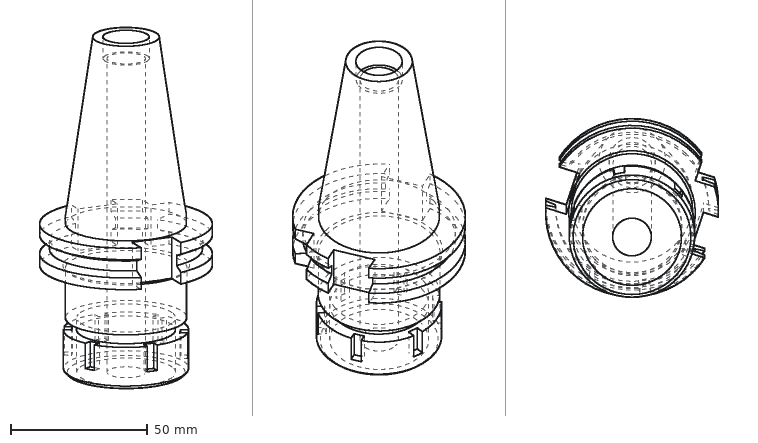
import cadquery as cq

GAUGE_DIAMETER = 44.45
TAPER_RATIO = 7 / 24
TAPER_LENGTH = 68.4
PROJECTION = 60.0

FLANGE_DIAMETER = 63.55
FLANGE_TOP = -3.2
FLANGE_BOTTOM = -19.1
GROOVE_CENTRE = -11.1
GROOVE_ROOT_DIAMETER = 56.25
GROOVE_ROOT_WIDTH = 3.8
GROOVE_MOUTH_WIDTH = 7.0

KEYWAY_WIDTH = 16.1
KEYWAY_FLOOR_LEFT = 25.0
KEYWAY_FLOOR_RIGHT = 22.8
NOTCH_OFFSET = 18.5

BODY_DIAMETER = 44.7
BODY_BOTTOM = -39.2
COLLAR_DIAMETER = 46.5
COLLAR_HEIGHT = 0.9
NOSE_DIAMETER = 36.4
BORE_DIAMETER = 14.2
COUNTERBORE_DIAMETER = 17.0
COUNTERBORE_DEPTH = 8.2

NUT_DIAMETER = 46.1
NUT_TOP = -43.8
NUT_CHAMFER = 1.4
NUT_SLOT_COUNT = 6
NUT_SLOT_WIDTH = 4.0
NUT_SLOT_LENGTH = 9.7
NUT_SLOT_FLOOR_RADIUS = 20.0


def revolve(points):
    """Turn a closed outline of (radius, height) points about the Z axis."""
    return cq.Workplane("YZ").polyline(points).close().revolve(360, (0, 0), (0, 1))


def box(x_min, x_max, y_min, y_max, z_min, z_max):
    """Make a box from its limits along each axis."""
    size = (x_max - x_min, y_max - y_min, z_max - z_min)
    return cq.Workplane("XY").box(*size, centered=False).translate((x_min, y_min, z_min))


def turned_holder():
    """Taper, grooved flange, body and nose, bored through and counterbored at the top."""
    gauge_radius = GAUGE_DIAMETER / 2
    small_end_radius = gauge_radius - TAPER_LENGTH * TAPER_RATIO / 2
    flange_radius = FLANGE_DIAMETER / 2
    root_radius = GROOVE_ROOT_DIAMETER / 2
    body_radius = BODY_DIAMETER / 2
    nose_radius = NOSE_DIAMETER / 2
    bore_radius = BORE_DIAMETER / 2
    counterbore_radius = COUNTERBORE_DIAMETER / 2
    counterbore_floor = TAPER_LENGTH - COUNTERBORE_DEPTH
    return revolve([
        (bore_radius, counterbore_floor),
        (counterbore_radius, counterbore_floor),
        (counterbore_radius, TAPER_LENGTH),
        (small_end_radius, TAPER_LENGTH),
        (gauge_radius, 0),
        (gauge_radius, FLANGE_TOP),
        (flange_radius, FLANGE_TOP),
        (flange_radius, GROOVE_CENTRE + GROOVE_MOUTH_WIDTH / 2),
        (root_radius, GROOVE_CENTRE + GROOVE_ROOT_WIDTH / 2),
        (root_radius, GROOVE_CENTRE - GROOVE_ROOT_WIDTH / 2),
        (flange_radius, GROOVE_CENTRE - GROOVE_MOUTH_WIDTH / 2),
        (flange_radius, FLANGE_BOTTOM),
        (COLLAR_DIAMETER / 2, FLANGE_BOTTOM),
        (body_radius, FLANGE_BOTTOM - COLLAR_HEIGHT),
        (body_radius, BODY_BOTTOM),
        (nose_radius, BODY_BOTTOM),
        (nose_radius, -PROJECTION),
        (bore_radius, -PROJECTION),
    ])


def flange_cutouts():
    """Two drive keyways of unequal depth and the corner notch, through the flange height."""
    edge = FLANGE_DIAMETER / 2
    half_width = KEYWAY_WIDTH / 2
    left_keyway = box(-edge, -KEYWAY_FLOOR_LEFT, -half_width, half_width, FLANGE_BOTTOM, FLANGE_TOP)
    right_keyway = box(KEYWAY_FLOOR_RIGHT, edge, -half_width, half_width, FLANGE_BOTTOM, FLANGE_TOP)
    notch = box(-edge, -NOTCH_OFFSET, NOTCH_OFFSET, edge, FLANGE_BOTTOM, FLANGE_TOP)
    return [left_keyway, right_keyway, notch]


def make_holder():
    body = turned_holder()
    for cutout in flange_cutouts():
        body = body.cut(cutout)
    return body


def make_clamping_nut():
    """Ring around the holder nose, with spanner slots open at its top face."""
    outer_radius = NUT_DIAMETER / 2
    inner_radius = NOSE_DIAMETER / 2
    nut = revolve([
        (inner_radius, NUT_TOP),
        (outer_radius, NUT_TOP),
        (outer_radius, -PROJECTION + NUT_CHAMFER),
        (outer_radius - NUT_CHAMFER, -PROJECTION),
        (inner_radius, -PROJECTION),
    ])
    half_width = NUT_SLOT_WIDTH / 2
    slot_bottom = NUT_TOP - NUT_SLOT_LENGTH
    slot = box(NUT_SLOT_FLOOR_RADIUS, outer_radius, -half_width, half_width, slot_bottom, NUT_TOP)
    for index in range(NUT_SLOT_COUNT):
        angle = index * 360 / NUT_SLOT_COUNT
        nut = nut.cut(slot.rotate((0, 0, 0), (0, 0, 1), angle))
    return nut


holder = make_holder()
clamping_nut = make_clamping_nut()

result = cq.Compound.makeCompound([holder.val(), clamping_nut.val()])